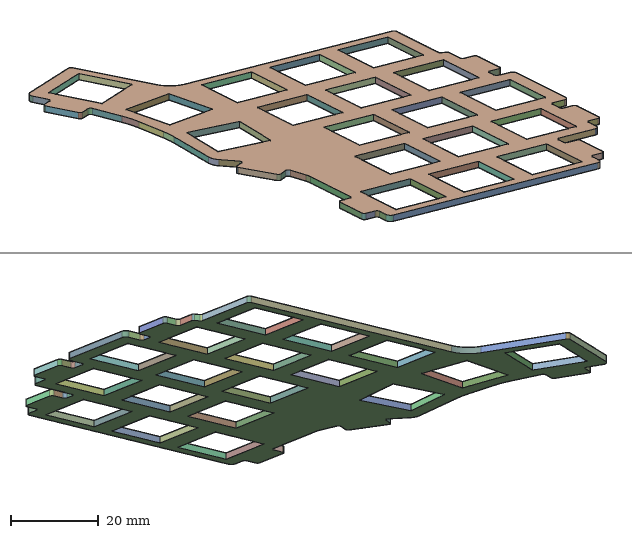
import cadquery as cq
import math

thickness = 1.5
plate_width = 119.3
key_pitch = 19.1
key_opening = 14.0
keys_per_column = 3
side_margin = key_pitch / 2
end_margin = 10.7

column_top_key_y = [82.0, 83.9, 88.9, 83.9, 71.8]
last_column_x = plate_width - side_margin
column_x = [last_column_x - key_pitch * n for n in (4, 3, 2, 1, 0)]
left_edge_x = column_x[0] - side_margin
bottom_edge_y = column_top_key_y[-1] - key_pitch * (keys_per_column - 1) - end_margin

shoulder_half_width = 10.7
step_run = 0.7

thumb_tilt = 25.0
thumb_keys = [
    (13.6, 14.8, thumb_tilt),
    (34.8, 21.7, 10.0),
    (56.8, 22.7, -5.0),
]

tab_width = 10.0
tab_height = 3.9
fourth_column_tab_shift = 0.7
thumb_tab_shift = 0.8
slanted_tab_base = (76.6, 18.7)
slanted_tab_width = 11.2
slanted_tab_tilt = 28.0

bottom_bend_x = 87.7
lower_elbow = (66.3, 11.2)
arch_bends = [(47.7, 12.5), (34.6, 11.2)]

step_round = 0.5
small_round = 0.7
plate_round = 1.2
thumb_round = 1.8
inner_elbow_round = 6.2
lower_elbow_round = 3.6
bottom_bend_round = 6.0
arch_round = 23.9


def placed(origin, tilt, u, v):
    """Turn the offset (u, v) by tilt degrees and move it to origin."""
    c = math.cos(math.radians(tilt))
    s = math.sin(math.radians(tilt))
    return (origin[0] + u * c - v * s, origin[1] + u * s + v * c)


def tab_corners(base, tilt, width=tab_width):
    """Corners of a tab that points along the local +v axis, left to right."""
    half = width / 2
    offsets = [(-half, 0), (-half, tab_height), (half, tab_height), (half, 0)]
    return [placed(base, tilt, u, v) + (small_round,) for u, v in offsets]


def rounded_outline(corners):
    """Closed wire through (x, y, radius) corners, each rounded by a tangent arc."""
    outline = None
    for i, (x, y, radius) in enumerate(corners):
        here = cq.Vector(x, y)
        before = cq.Vector(*corners[i - 1][:2])
        after = cq.Vector(*corners[(i + 1) % len(corners)][:2])
        back = (before - here).normalized()
        ahead = (after - here).normalized()
        half_angle = back.getAngle(ahead) / 2
        run = radius / math.tan(half_angle)
        start = here + back * run
        end = here + ahead * run
        bisector = (back + ahead).normalized()
        middle = here + bisector * (radius / math.sin(half_angle) - radius)
        if outline is None:
            outline = cq.Workplane("XY").moveTo(start.x, start.y)
        else:
            outline = outline.lineTo(start.x, start.y)
        outline = outline.threePointArc((middle.x, middle.y), (end.x, end.y))
    return outline.close()


def thumb_point(u, v):
    """Point at the offset (u, v) in the tilted frame of the outermost thumb key."""
    x, y, tilt = thumb_keys[0]
    return placed((x, y), tilt, u, v)


def finger_edge():
    """Corners along the finger columns, clockwise from the upper left."""
    tops = [y + end_margin for y in column_top_key_y]
    corners = [
        (left_edge_x, tops[0], small_round),
        (column_x[1] - shoulder_half_width - step_run / 2, tops[0], step_round),
        (column_x[1] - shoulder_half_width + step_run / 2, tops[1], step_round),
    ]
    corners += tab_corners((column_x[1], tops[1]), 0)
    corners += [
        (column_x[2] - shoulder_half_width, tops[1], small_round),
        (column_x[2] - shoulder_half_width, tops[2], plate_round),
        (column_x[2] + shoulder_half_width, tops[2], plate_round),
        (column_x[2] + shoulder_half_width, tops[3], small_round),
    ]
    corners += tab_corners((column_x[3] + fourth_column_tab_shift, tops[3]), 0)
    corners += [
        (column_x[3] + shoulder_half_width, tops[3], plate_round),
        (column_x[3] + shoulder_half_width, tops[4], small_round),
    ]
    corners += tab_corners((column_x[4], tops[4]), 0)
    corners += [
        (plate_width, tops[4], plate_round),
        (plate_width, bottom_edge_y, plate_round),
    ]
    return corners


def lower_edge():
    """Corners along the bottom, from the right-hand tab to the outermost thumb tab."""
    corners = tab_corners((column_x[4], bottom_edge_y), 180)
    corners += [(bottom_bend_x, bottom_edge_y, bottom_bend_round)]
    corners += tab_corners(slanted_tab_base, 180 + slanted_tab_tilt, slanted_tab_width)
    corners += [lower_elbow + (lower_elbow_round,)]
    corners += [bend + (arch_round,) for bend in arch_bends]
    corners += tab_corners(thumb_point(thumb_tab_shift, -end_margin), 180 + thumb_tilt)
    return corners


def thumb_end():
    """Corners round the outer end of the thumb row, up to the elbow below the fingers."""
    start = thumb_point(0, side_margin)
    elbow_y = start[1] + (left_edge_x - start[0]) * math.tan(math.radians(thumb_tilt))
    return [
        thumb_point(-end_margin, -end_margin) + (thumb_round,),
        thumb_point(-end_margin, side_margin) + (small_round,),
        (left_edge_x, elbow_y, inner_elbow_round),
    ]


def opening(x, y, tilt):
    """Square through cutter for one key."""
    square = cq.Workplane("XY").rect(key_opening, key_opening).extrude(thickness)
    return square.rotate((0, 0, 0), (0, 0, 1), tilt).translate((x, y, 0))


result = rounded_outline(finger_edge() + lower_edge() + thumb_end()).extrude(thickness)

for x, top_y in zip(column_x, column_top_key_y):
    for row in range(keys_per_column):
        result = result.cut(opening(x, top_y - row * key_pitch, 0))

for x, y, tilt in thumb_keys:
    result = result.cut(opening(x, y, tilt))